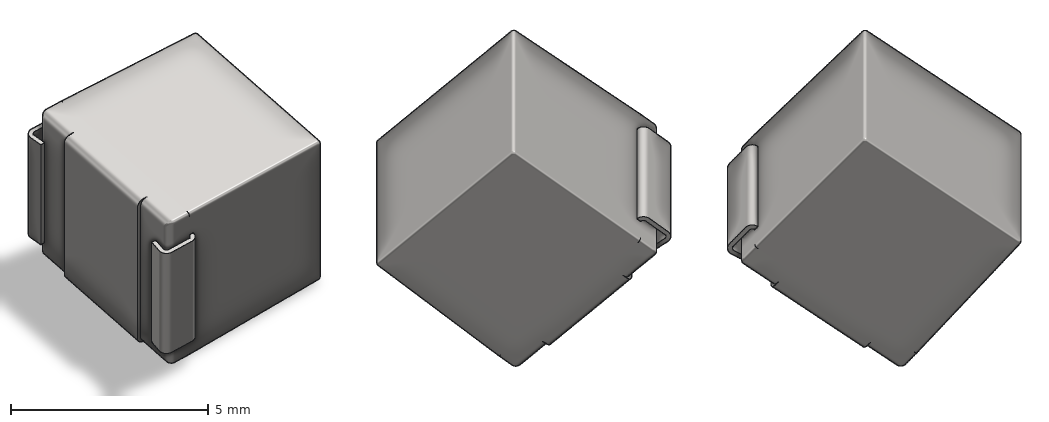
import cadquery as cq
import math

total_width = 5.75
body_width = 5.3
body_height = 5.0
body_front = 0.295
parting_y = 0.965
body_back = 5.29
draft_angle = 1.0
front_radius = 0.2
side_radius = 0.1

pad_width = 3.0
pad_front = 0.195
pad_depth = 0.46

lead_height = 3.51
lead_thickness = 0.125
bend_radius = 0.22
lead_top = 1.085
foot_angle = math.radians(7.0)
foot_tip_x = -2.265
lead_embed = 0.085


def make_body():
    """Moulded block: straight at the front, drafted towards the back."""
    def section(y):
        plane = cq.Plane(origin=(0, y, 0), xDir=(1, 0, 0), normal=(0, 1, 0))
        return cq.Workplane(plane).rect(body_width, body_height)

    straight = (
        section(body_front)
        .extrude(parting_y - body_front)
        .faces("<Y")
        .edges()
        .fillet(front_radius)
        .edges("|Y")
        .fillet(side_radius)
    )
    drafted = (
        section(parting_y)
        .extrude(body_back - parting_y, taper=draft_angle)
        .edges("not <Y")
        .fillet(side_radius)
    )
    return straight.union(drafted)


def make_pad():
    """Raised full-height strip across the middle of the front face."""
    return (
        cq.Workplane("XY")
        .box(pad_width, pad_depth, body_height)
        .translate((0, pad_front + pad_depth / 2, 0))
        .faces("<Y")
        .edges("|X")
        .fillet(front_radius)
    )


def make_left_lead():
    """Bent strip: an arm out of the body, a side leg and a tilted foot."""
    outer_x = -total_width / 2
    inner_x = outer_x + lead_thickness
    inner_radius = bend_radius - lead_thickness
    bend_x = outer_x + bend_radius
    arm_bend_y = lead_top - bend_radius
    foot_bend_y = bend_radius
    arm_end_x = -body_width / 2 + lead_embed

    def on_bend(center_y, radius, angle):
        return bend_x + radius * math.cos(angle), center_y + radius * math.sin(angle)

    upper_mid = math.radians(135)
    foot_end = math.radians(270) + foot_angle
    lower_mid = (math.pi + foot_end) / 2
    foot_start = on_bend(foot_bend_y, bend_radius, foot_end)
    foot_length = (foot_tip_x - foot_start[0]) / math.cos(foot_angle)
    tip_outer = (foot_tip_x, foot_start[1] + foot_length * math.sin(foot_angle))
    tip_inner = (
        tip_outer[0] - lead_thickness * math.sin(foot_angle),
        tip_outer[1] + lead_thickness * math.cos(foot_angle),
    )
    return (
        cq.Workplane("XY", origin=(0, 0, -lead_height / 2))
        .moveTo(arm_end_x, lead_top)
        .lineTo(bend_x, lead_top)
        .threePointArc(on_bend(arm_bend_y, bend_radius, upper_mid), (outer_x, arm_bend_y))
        .lineTo(outer_x, foot_bend_y)
        .threePointArc(on_bend(foot_bend_y, bend_radius, lower_mid), foot_start)
        .lineTo(*tip_outer)
        .lineTo(*tip_inner)
        .lineTo(*on_bend(foot_bend_y, inner_radius, foot_end))
        .threePointArc(on_bend(foot_bend_y, inner_radius, lower_mid), (inner_x, foot_bend_y))
        .lineTo(inner_x, arm_bend_y)
        .threePointArc(
            on_bend(arm_bend_y, inner_radius, upper_mid),
            (bend_x, lead_top - lead_thickness),
        )
        .lineTo(arm_end_x, lead_top - lead_thickness)
        .close()
        .extrude(lead_height)
    )


left_lead = make_left_lead()
right_lead = left_lead.mirror("YZ")
result = make_body().union(make_pad()).union(left_lead).union(right_lead)